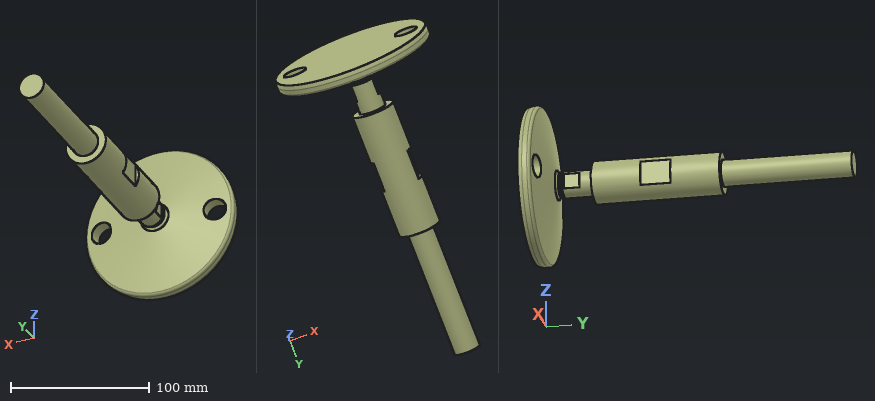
import cadquery as cq
import math


plate_radius = 59.0
underside_radius = 58.0
lower_bevel_height = 3.5
rim_corner_height = 9.2
rim_round_radius = 2.4
cone_top_radius = 11.0
cone_top_height = 17.5
socket_waist_radius = 8.3
socket_waist_height = 19.2
socket_lip_radius = 9.2
socket_top = 20.6

cone_slope = math.atan2(cone_top_height - rim_corner_height, plate_radius - cone_top_radius)
round_setback = rim_round_radius * math.tan((math.pi / 2 - cone_slope) / 2)
rim_top = rim_corner_height - round_setback
shoulder_radius = plate_radius - round_setback * math.cos(cone_slope)
shoulder_height = rim_corner_height + round_setback * math.sin(cone_slope)

hole_diameter = 16.5
hole_offset = 43.0
hole_reach = 47.5

total_length = 237.0
rod_diameter = 20.0
rod_start = 22.5
neck_base_radius = 7.8
neck_tip_radius = 6.6
rod_flat_width = 16.5
rod_flat_start = 24.0
rod_flat_length = 11.4

sleeve_diameter = 32.0
sleeve_start = 45.3
sleeve_length = 95.0
sleeve_flat_width = 26.5
sleeve_flat_length = 22.3
sleeve_flat_start = sleeve_start + (sleeve_length - sleeve_flat_length) / 2


def revolve_about_y(outline):
    """Turn a closed half outline on the XY plane about the Y axis."""
    return outline.close().revolve(360, (0, 0, 0), (0, 1, 0))


def cylinder_y(diameter, start, length):
    """Cylinder along +Y, beginning at the given height."""
    base = cq.Workplane(cq.Plane((0, start, 0), xDir=(1, 0, 0), normal=(0, 1, 0)))
    return base.circle(diameter / 2).extrude(length)


def wrench_flat_cutters(diameter, width, start, length):
    """Two boxes that leave a pair of opposite flats facing -X and +X."""
    boxes = cq.Workplane("XY")
    for side in (-1, 1):
        box = cq.Workplane("XY").box(diameter, length, diameter)
        boxes = boxes.add(box.translate((side * (width + diameter) / 2, start + length / 2, 0)))
    return boxes.combine()


def make_foot_plate():
    plate = revolve_about_y(
        cq.Workplane("XY")
        .lineTo(underside_radius, 0)
        .lineTo(plate_radius, lower_bevel_height)
        .lineTo(plate_radius, rim_top)
        .tangentArcPoint((shoulder_radius, shoulder_height), relative=False)
        .lineTo(cone_top_radius, cone_top_height)
        .lineTo(socket_waist_radius, socket_waist_height)
        .lineTo(socket_lip_radius, socket_top)
        .lineTo(0, socket_top)
    )
    for side in (-1, 1):
        axis = cq.Vector(side * math.sin(cone_slope), math.cos(cone_slope), 0)
        start = cq.Vector(side * hole_offset, 0, 0) - axis * (hole_reach / 2)
        plate = plate.cut(cq.Solid.makeCylinder(hole_diameter / 2, hole_reach, start, axis))
    return plate


def make_spindle():
    spindle = revolve_about_y(
        cq.Workplane("XY")
        .moveTo(0, socket_top)
        .lineTo(neck_base_radius, socket_top)
        .lineTo(neck_tip_radius, rod_start)
        .lineTo(rod_diameter / 2, rod_start)
        .lineTo(rod_diameter / 2, total_length)
        .lineTo(0, total_length)
    )
    return spindle.cut(
        wrench_flat_cutters(rod_diameter, rod_flat_width, rod_flat_start, rod_flat_length)
    )


def make_sleeve():
    sleeve = cylinder_y(sleeve_diameter, sleeve_start, sleeve_length)
    sleeve = sleeve.cut(cylinder_y(rod_diameter, sleeve_start, sleeve_length))
    return sleeve.cut(
        wrench_flat_cutters(
            sleeve_diameter, sleeve_flat_width, sleeve_flat_start, sleeve_flat_length
        )
    )


foot_plate = make_foot_plate()
spindle = make_spindle()
sleeve = make_sleeve()

result = cq.Compound.makeCompound([foot_plate.val(), spindle.val(), sleeve.val()])